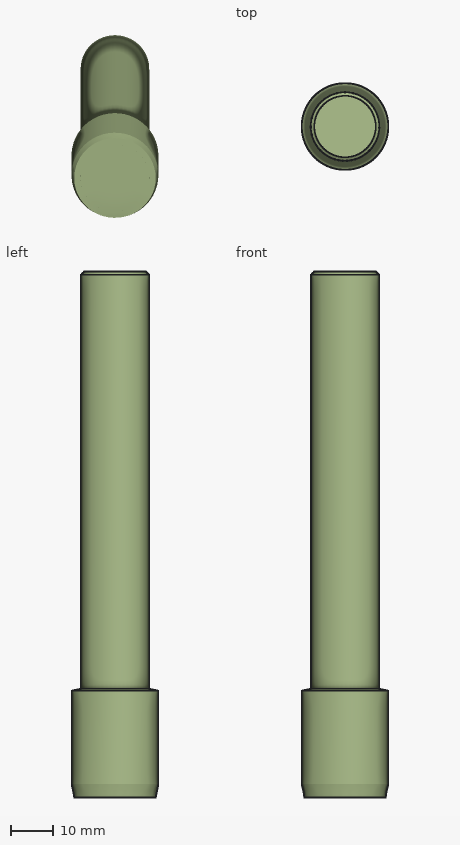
import cadquery as cq
import math

rod_diameter = 16.3
overall_length = 125.0
rod_chamfer = 0.85

sleeve_diameter = 20.65
sleeve_rim_height = 25.4
top_face_slope = 11.5
lead_in_height = 3.2
lead_in_angle = 11.5

rod_radius = rod_diameter / 2
sleeve_radius = sleeve_diameter / 2
sleeve_wall = sleeve_radius - rod_radius
sleeve_bore_height = sleeve_rim_height + sleeve_wall * math.tan(math.radians(top_face_slope))
lead_in_radius = sleeve_radius - lead_in_height * math.tan(math.radians(lead_in_angle))


def make_rod():
    """Plain round rod over the full length, chamfered at its top end."""
    return (
        cq.Workplane("XY")
        .circle(rod_radius)
        .extrude(overall_length)
        .faces(">Z")
        .edges()
        .chamfer(rod_chamfer)
    )


def make_sleeve():
    """Sleeve with a through bore, a tapered lower end and a slightly conical top face."""
    return (
        cq.Workplane("YZ")
        .moveTo(rod_radius, 0)
        .lineTo(lead_in_radius, 0)
        .lineTo(sleeve_radius, lead_in_height)
        .lineTo(sleeve_radius, sleeve_rim_height)
        .lineTo(rod_radius, sleeve_bore_height)
        .close()
        .revolve(360, (0, 0, 0), (0, 1, 0))
    )


rod = make_rod()
sleeve = make_sleeve()

result = cq.Compound.makeCompound([rod.val(), sleeve.val()])